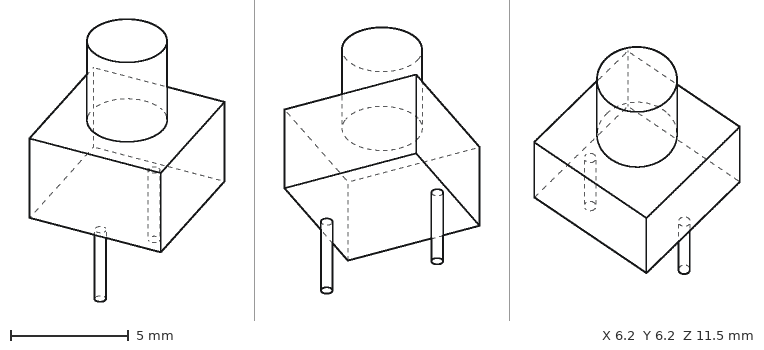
import cadquery as cq

total_height = 11.5
body_side = 6.2
body_height = 4.0
button_height = body_height
button_diameter = 3.4
pin_length = total_height - body_height - button_height
pin_diameter = 0.5
pin_spacing = 5.2

body = cq.Workplane("XY").box(body_side, body_side, body_height, centered=(True, True, False))

button = cq.Workplane("XY").workplane(offset=body_height).circle(button_diameter / 2).extrude(button_height)

pins = (
    cq.Workplane("XY")
    .pushPoints([(0, -pin_spacing / 2), (0, pin_spacing / 2)])
    .circle(pin_diameter / 2)
    .extrude(-pin_length)
)

result = body.union(button).union(pins)